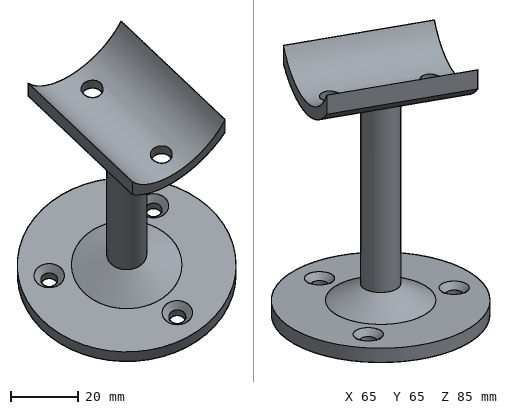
import cadquery as cq
import math

height = 85.0

base_diameter = 65.0
base_thickness = 4.8
screw_count = 3
screw_circle_radius = 23.4
screw_diameter = 5.0
countersink_diameter = 9.0
countersink_angle = 90.0

cone_diameter = 32.8
cone_height = 5.4
post_diameter = 12.0

saddle_length = 48.0
saddle_width = 36.0
rail_radius = 21.2
saddle_thickness = 3.9
saddle_hole_diameter = 6.5
saddle_hole_spacing = 32.0

saddle_outer_radius = rail_radius + saddle_thickness
rail_axis_z = height + math.sqrt(rail_radius**2 - (saddle_width / 2) ** 2)
saddle_bottom_z = rail_axis_z - saddle_outer_radius


def make_base():
    base = cq.Workplane("XY").circle(base_diameter / 2).extrude(base_thickness)
    return (
        base.faces(">Z")
        .workplane()
        .polarArray(screw_circle_radius, 0, 360, screw_count)
        .cskHole(screw_diameter, countersink_diameter, countersink_angle)
    )


def make_stem():
    """Cone and post in one revolve, the post ending at the rail's surface."""
    cone_top_z = base_thickness + cone_height
    post_top_z = saddle_bottom_z + saddle_thickness
    profile = [
        (0, base_thickness),
        (cone_diameter / 2, base_thickness),
        (post_diameter / 2, cone_top_z),
        (post_diameter / 2, post_top_z),
        (0, post_top_z),
    ]
    return cq.Workplane("XZ").polyline(profile).close().revolve(360, (0, 0), (0, 1))


def rail_cylinder(radius):
    return (
        cq.Workplane("YZ")
        .center(0, rail_axis_z)
        .circle(radius)
        .extrude(saddle_length / 2, both=True)
    )


def make_saddle():
    """Lower part of a tube, cut to width by vertical sides."""
    blank = cq.Workplane("XY").workplane(offset=saddle_bottom_z).box(
        saddle_length, saddle_width, height - saddle_bottom_z, centered=(True, True, False)
    )
    saddle = blank.intersect(rail_cylinder(saddle_outer_radius)).cut(rail_cylinder(rail_radius))
    holes = (
        cq.Workplane("XY")
        .workplane(offset=saddle_bottom_z)
        .rarray(saddle_hole_spacing, 0.85, 2, 1)
        .circle(saddle_hole_diameter / 2)
        .extrude(height - saddle_bottom_z)
    )
    return saddle.cut(holes)


result = make_base().union(make_stem()).union(make_saddle()).cut(rail_cylinder(rail_radius))